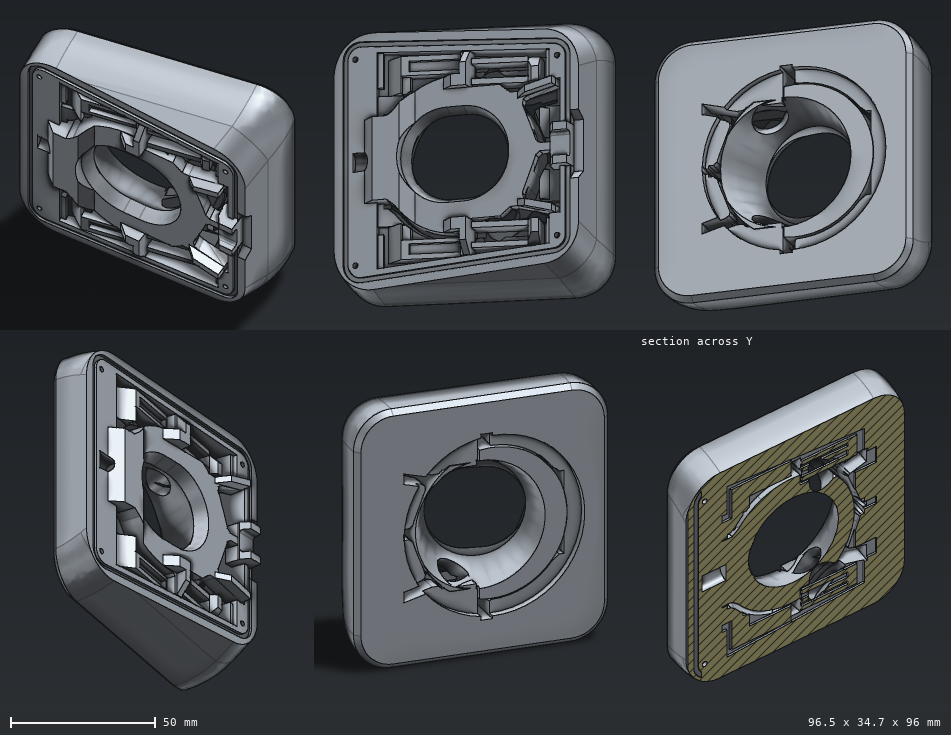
import cadquery as cq
import math

HALF_HEIGHT = 48.0
RIGHT_X = 48.28
LEFT_X_AT_RIM = -46.1
RIM_CHAMFER = 2.0
RIM_CHAMFER_ANGLE = 45.0
SIDE_CURVE_RADIUS = 52.6
SIDE_SLOPE = 20.0
CORNER_RADIUS = 14.0

FACE_TILT = 10.0
FACE_Y_AT_CENTRE = -24.07
FACE_LEFT_U = -48.95
HOOK_HEIGHT = 3.98
PLATE_THICKNESS = 5.0
FAR = 100.0

SIN_TILT = math.sin(math.radians(FACE_TILT))
COS_TILT = math.cos(math.radians(FACE_TILT))
ALONG_FACE = cq.Vector(COS_TILT, -SIN_TILT, 0)
FACE_NORMAL = cq.Vector(-SIN_TILT, -COS_TILT, 0)
FACE_ORIGIN = cq.Vector(0, FACE_Y_AT_CENTRE, 0)

APERTURE_X = -3.3
DISC_RADIUS = 28.0
TONGUE_HALF_WIDTH = 14.8
ARM_LEFT_X = -2.0
ARM_RIGHT_X = 1.2
ARM_TIP_Z = 36.0
EAR_Z = 23.3
BRIDGE_HALF_WIDTH = 1.45
SADDLE_HALF_WIDTH = 7.4
SADDLE_LEFT_X = 30.9
SADDLE_RIGHT_X = 38.0
SADDLE_RISE = 0.7
SLOT_GAP = 0.6
SLOT_MOUTH_GAP = 1.9
SLOT_LEFT_X = -30.3
SLOT_RIGHT_X = 30.3
SLOT_REACH_Z = 34.5
SLOT_LANDS = [
    ((2.2, 17.5), (22.0, 30.0)),
    ((28.9, 40.0), (1.0, 9.5)),
]

POCKET_FLOOR_Y = -15.0
SLOT_NECK_Y = -10.0
BACK_BORE_RADIUS = 33.5
BACK_BORE_DEPTH = 3.0
SHELF_Y = -20.8


def face_point(u, height, z=0.0):
    """Point given by its distance along the mounting face, height above it, and Z."""
    return FACE_ORIGIN + ALONG_FACE * u + FACE_NORMAL * height + cq.Vector(0, 0, z)


def face_plane(height=0.0):
    """Workplane on the mounting face: local x along the face, local y along Z."""
    return cq.Workplane(cq.Plane(face_point(0, height), ALONG_FACE, FACE_NORMAL))


def slab(low, high):
    """Layer between two heights over the mounting face."""
    return face_plane(low).rect(2 * FAR, 2 * FAR).extrude(high - low)


def ridge(profile, z_low, z_high):
    """Profile of (u, height) points swept along Z."""
    plane = cq.Plane(face_point(0, 0, z_high), ALONG_FACE, cq.Vector(0, 0, -1))
    return cq.Workplane(plane).polyline(profile).close().extrude(z_high - z_low)


def prism_z(profile, z_low, z_high):
    """Profile of (x, y) points swept along Z."""
    return cq.Workplane("XY", origin=(0, 0, z_low)).polyline(profile).close().extrude(z_high - z_low)


def box(x_range, y_range, z_range):
    sizes = [high - low for low, high in (x_range, y_range, z_range)]
    return cq.Workplane("XY").box(*sizes, centered=False).translate((x_range[0], y_range[0], z_range[0]))


def upper_and_lower(solid):
    return solid.union(solid.mirror("XY"))


SLOPE_RAD = math.radians(SIDE_SLOPE)
CURVE_END_DEPTH = RIM_CHAMFER + SIDE_CURVE_RADIUS * math.sin(SLOPE_RAD)


def side_inset(depth):
    """Inset of a curved side at a depth in front of the back face, within the curved stretch."""
    reach = depth - RIM_CHAMFER
    return SIDE_CURVE_RADIUS - math.sqrt(SIDE_CURVE_RADIUS ** 2 - reach ** 2)


CURVE_MID_DEPTH = (RIM_CHAMFER + CURVE_END_DEPTH) / 2
CURVE_END_INSET = side_inset(CURVE_END_DEPTH)
FRONT_DEPTH = 45.0
FRONT_INSET = CURVE_END_INSET + (FRONT_DEPTH - CURVE_END_DEPTH) * math.tan(SLOPE_RAD)


def is_corner_edge(edge):
    """True for the edges that run from back to front where two sides meet."""
    middle = edge.Center()
    near_side = abs(middle.x) > RIGHT_X / 2
    near_end = abs(middle.z) > HALF_HEIGHT / 2
    return near_side and near_end and edge.BoundingBox().ylen > 1


def make_housing():
    left_front = face_point(FACE_LEFT_U, 0)
    left_slope = (left_front.x - LEFT_X_AT_RIM) / (left_front.y + RIM_CHAMFER)
    plan = (
        cq.Workplane("XY", origin=(0, 0, -HALF_HEIGHT - 1))
        .moveTo(LEFT_X_AT_RIM, -RIM_CHAMFER)
        .lineTo(RIGHT_X, -RIM_CHAMFER)
        .threePointArc(
            (RIGHT_X - side_inset(CURVE_MID_DEPTH), -CURVE_MID_DEPTH),
            (RIGHT_X - CURVE_END_INSET, -CURVE_END_DEPTH),
        )
        .lineTo(RIGHT_X - FRONT_INSET, -FRONT_DEPTH)
        .lineTo(LEFT_X_AT_RIM - left_slope * (FRONT_DEPTH - RIM_CHAMFER), -FRONT_DEPTH)
        .close()
        .extrude(2 * HALF_HEIGHT + 2)
    )
    elevation = (
        cq.Workplane("YZ", origin=(-FAR, 0, 0))
        .moveTo(-RIM_CHAMFER, -HALF_HEIGHT)
        .lineTo(-RIM_CHAMFER, HALF_HEIGHT)
        .threePointArc(
            (-CURVE_MID_DEPTH, HALF_HEIGHT - side_inset(CURVE_MID_DEPTH)),
            (-CURVE_END_DEPTH, HALF_HEIGHT - CURVE_END_INSET),
        )
        .lineTo(-FRONT_DEPTH, HALF_HEIGHT - FRONT_INSET)
        .lineTo(-FRONT_DEPTH, -HALF_HEIGHT + FRONT_INSET)
        .lineTo(-CURVE_END_DEPTH, -HALF_HEIGHT + CURVE_END_INSET)
        .threePointArc(
            (-CURVE_MID_DEPTH, -HALF_HEIGHT + side_inset(CURVE_MID_DEPTH)),
            (-RIM_CHAMFER, -HALF_HEIGHT),
        )
        .close()
        .extrude(2 * FAR)
    )
    block = plan.intersect(elevation)
    corner_edges = [edge for edge in block.edges().vals() if is_corner_edge(edge)]
    block = block.newObject(corner_edges).fillet(CORNER_RADIUS)
    rim = (
        cq.Workplane("XZ", origin=((LEFT_X_AT_RIM + RIGHT_X) / 2, -RIM_CHAMFER, 0))
        .sketch()
        .rect(RIGHT_X - LEFT_X_AT_RIM, 2 * HALF_HEIGHT)
        .vertices()
        .fillet(CORNER_RADIUS)
        .finalize()
        .extrude(-RIM_CHAMFER, taper=RIM_CHAMFER_ANGLE)
    )
    return block.union(rim).cut(slab(0, FAR))


PIN_HOLE_DIAMETER = 1.9
PIN_HOLE_DEPTH = 3.0
PIN_HOLES = [(-41.0, 36.5), (33.7, 31.9)]
GROOVE_DEPTH = 1.0
GROOVE_WIDTH = 1.8
GROOVE_CORNER_RADIUS = 6.5
GROOVE_LEFT_U = -45.5
GROOVE_RIGHT_U = 38.5
GROOVE_LEFT_HALF_HEIGHT = 43.1
GROOVE_RIGHT_HALF_HEIGHT = 37.7
NOTCH_HALF_LENGTH = 12.1
NOTCH_FLOOR_HALF_LENGTH = 9.1
NOTCH_DEPTH = 3.4
NOTCH_LEFT_U = 38.6


def groove_outline():
    """Sharp-cornered outer outline of the groove, on its floor."""
    return (
        face_plane(-GROOVE_DEPTH)
        .polyline(
            [
                (GROOVE_LEFT_U, -GROOVE_LEFT_HALF_HEIGHT),
                (GROOVE_RIGHT_U, -GROOVE_RIGHT_HALF_HEIGHT),
                (GROOVE_RIGHT_U, GROOVE_RIGHT_HALF_HEIGHT),
                (GROOVE_LEFT_U, GROOVE_LEFT_HALF_HEIGHT),
            ]
        )
        .close()
    )


def cut_seal_groove(body):
    outer = groove_outline().extrude(FAR).edges(cq.selectors.ParallelDirSelector(FACE_NORMAL))
    outer = outer.fillet(GROOVE_CORNER_RADIUS)
    inner = groove_outline().offset2D(-GROOVE_WIDTH).extrude(FAR)
    inner = inner.edges(cq.selectors.ParallelDirSelector(FACE_NORMAL))
    inner = inner.fillet(GROOVE_CORNER_RADIUS - GROOVE_WIDTH)
    return body.cut(outer.cut(inner))


def cut_pin_holes(body):
    places = [(u, side * z) for u, z in PIN_HOLES for side in (1, -1)]
    return body.cut(face_plane().pushPoints(places).circle(PIN_HOLE_DIAMETER / 2).extrude(-PIN_HOLE_DEPTH))


def cut_rim_notch(body):
    end = cq.Plane(face_point(NOTCH_LEFT_U, 0), cq.Vector(0, 0, 1), ALONG_FACE)
    outline = [
        (-NOTCH_HALF_LENGTH, 0),
        (-NOTCH_FLOOR_HALF_LENGTH, -NOTCH_DEPTH),
        (NOTCH_FLOOR_HALF_LENGTH, -NOTCH_DEPTH),
        (NOTCH_HALF_LENGTH, 0),
    ]
    return body.cut(cq.Workplane(end).polyline(outline).close().extrude(FAR))


WINDOW_LEFT_X = -32.5
WINDOW_RIGHT_X = 30.3
WINDOW_LEFT_Z = 38.3
WINDOW_RIGHT_Z = 34.4
WINDOW_STEP_X = 34.2
WINDOW_STEP_Z = 23.8
LEDGE_WIDTH = 2.0
LEDGE_RIGHT_WIDTH = 1.4
LEDGE_DROP = 1.5
LEDGE_LOW_Z = 26.0
BLOCK_FOOT_X = -29.1
BLOCK_TOP_X = -23.5
BLOCK_LOW_Z = 23.1
BLOCK_HIGH_Z = 36.0
SHELF_LOW_Z = 29.1
SHELF_RIGHT_X = -2.6
SHOULDER_RIGHT_X = -20.7
SHOULDER_Y = -18.0
RECESS_X = (-20.7, -3.2)
RECESS_Z = (30.5, 34.2)
RECESS_DEPTH = 2.0
RIB_LEFT_X = 1.8
POST_FOOT_X = 21.7
POST_TOP_X = 23.2
POST_RIGHT_X = 25.8
POST_Y = -26.0
POST_LOW_Z = 24.3
POST_HIGH_Z = 33.4
POST_BEVEL = 4.0
RIB_Y = -23.5
RIBS_Z = [(24.3, 26.4), (31.6, 33.5)]
RIGHT_FLOOR_X = (25.0, 34.2)
RIGHT_FLOOR_Y = -17.5
RIGHT_FLOOR_Z = (1.5, 16.9)
SILL_RIGHT_X = 28.0
SILL_Y = -20.0
SILL_Z = (5.6, 16.2)
STEP_Y = -16.0
STEP_Z = (28.5, 30.3)
LANDING_Y = -16.5
LANDING_Z = (15.0, 23.1)


def make_window():
    upper = [
        (WINDOW_LEFT_X, WINDOW_LEFT_Z),
        (WINDOW_RIGHT_X, WINDOW_RIGHT_Z),
        (WINDOW_RIGHT_X, WINDOW_STEP_Z),
        (WINDOW_STEP_X, WINDOW_STEP_Z),
    ]
    lower = [(x, -z) for x, z in reversed(upper)]
    outline = cq.Workplane("XZ", origin=(0, POCKET_FLOOR_Y, 0)).polyline(upper + lower).close()
    return outline.extrude(FAR)


def make_pocket_ledges():
    """Ledges just below the mounting face at both ends of the window."""
    left = box((WINDOW_LEFT_X, WINDOW_LEFT_X + LEDGE_WIDTH), (-FAR, 0), (LEDGE_LOW_Z, HALF_HEIGHT))
    right_x = (WINDOW_RIGHT_X - LEDGE_RIGHT_WIDTH, WINDOW_RIGHT_X)
    right = box(right_x, (-FAR, 0), (WINDOW_STEP_Z, HALF_HEIGHT))
    return left.union(right).intersect(slab(-FAR, -LEDGE_DROP))


def make_left_shelf():
    """Ramped block running into a flat shelf with a shallow rectangular recess."""
    ramp = [
        (BLOCK_FOOT_X, POCKET_FLOOR_Y),
        (BLOCK_TOP_X, SHELF_Y),
        (BLOCK_TOP_X, POCKET_FLOOR_Y),
    ]
    block = prism_z(ramp, BLOCK_LOW_Z, BLOCK_HIGH_Z)
    shelf = box((BLOCK_TOP_X, SHELF_RIGHT_X), (SHELF_Y, POCKET_FLOOR_Y), (SHELF_LOW_Z, BLOCK_HIGH_Z))
    shoulder_x = (BLOCK_TOP_X, SHOULDER_RIGHT_X)
    shoulder = box(shoulder_x, (SHOULDER_Y, POCKET_FLOOR_Y), (BLOCK_LOW_Z, SHELF_LOW_Z))
    recess = box(RECESS_X, (SHELF_Y, SHELF_Y + RECESS_DEPTH), RECESS_Z)
    landing = box((WINDOW_LEFT_X, BLOCK_TOP_X), (LANDING_Y, POCKET_FLOOR_Y), LANDING_Z)
    return block.union(shelf).union(shoulder).union(landing).cut(recess)


def make_right_floor():
    """Raised floor beside the bridge with a sill sloping onto it, and a low step under the ribs."""
    left, right = RIGHT_FLOOR_X
    floor = box((left, right), (RIGHT_FLOOR_Y, POCKET_FLOOR_Y), RIGHT_FLOOR_Z)
    profile = [
        (left, POCKET_FLOOR_Y),
        (left, SILL_Y),
        (SILL_RIGHT_X, RIGHT_FLOOR_Y),
        (SILL_RIGHT_X, POCKET_FLOOR_Y),
    ]
    step = box((RIB_LEFT_X, POST_FOOT_X), (STEP_Y, POCKET_FLOOR_Y), STEP_Z)
    return floor.union(prism_z(profile, *SILL_Z)).union(step)


def make_ribs_and_post():
    profile = [
        (POST_FOOT_X, POCKET_FLOOR_Y),
        (POST_FOOT_X, RIB_Y),
        (POST_TOP_X, POST_Y),
        (POST_RIGHT_X, POST_Y),
        (POST_RIGHT_X, POCKET_FLOOR_Y),
    ]
    solid = prism_z(profile, POST_LOW_Z, POST_HIGH_Z).faces("<Y").edges(">Z").chamfer(POST_BEVEL)
    for z_range in RIBS_Z:
        solid = solid.union(box((RIB_LEFT_X, POST_FOOT_X), (RIB_Y, POCKET_FLOOR_Y), z_range))
    return solid


BORE_MOUTH = (12.3, -15.0, 25.0)
BORE_DIAMETER = 12.8
BORE_MOUTH_DIAMETER = 17.2
BORE_TILT = 50.0
BORE_LENGTH = 10.0
BORE_MOUTH_REACH = 3.0


def make_radial_bore():
    x, y, z = BORE_MOUTH
    radial = math.hypot(x - APERTURE_X, z)
    inward = math.sin(math.radians(BORE_TILT)) / radial
    axis = cq.Vector((APERTURE_X - x) * inward, math.cos(math.radians(BORE_TILT)), -z * inward)
    mouth = cq.Vector(x, y, z)
    step = (BORE_MOUTH_DIAMETER - BORE_DIAMETER) / 2
    bore = cq.Solid.makeCylinder(BORE_DIAMETER / 2, BORE_LENGTH, mouth, axis)
    cone = cq.Solid.makeCone(BORE_MOUTH_DIAMETER / 2, BORE_DIAMETER / 2, step, mouth, axis)
    entry_start = mouth - axis * BORE_MOUTH_REACH
    entry = cq.Solid.makeCylinder(BORE_MOUTH_DIAMETER / 2, BORE_MOUTH_REACH, entry_start, axis)
    return cq.Workplane(bore.fuse(cone, entry))


NECK_START = (-28.3, TONGUE_HALF_WIDTH)
NECK_END = (-25.5, 17.0)
TONGUE_LEFT_X = -37.0
ARM_ROOT = (-2.9, DISC_RADIUS)
ARM_BEND_Z = 29.0
BAY_EDGE = [
    (ARM_RIGHT_X, EAR_Z),
    (12.4, EAR_Z),
    (16.1, 20.3),
    (18.7, 20.2),
    (32.7, 23.9),
    (32.7, 21.3),
    (22.5, 18.5),
]
BAY_BEND = [(20.9, 17.5), (20.5, 15.7)]
BAY_INNER = [(24.4, 5.6), (25.4, 2.7), (27.0, BRIDGE_HALF_WIDTH)]


def plate_outline(y=0.0):
    """Closed outline of the plate with its tongue, arms, fingers and bridge."""
    angle_neck = math.atan2(NECK_END[1], NECK_END[0] - APERTURE_X)
    middle = (angle_neck + math.pi / 2) / 2
    arc_middle = (APERTURE_X + DISC_RADIUS * math.cos(middle), DISC_RADIUS * math.sin(middle))
    right = BAY_EDGE + BAY_BEND + BAY_INNER
    right += [
        (SADDLE_LEFT_X, BRIDGE_HALF_WIDTH),
        (SADDLE_LEFT_X, SADDLE_HALF_WIDTH),
        (SADDLE_RIGHT_X, SADDLE_HALF_WIDTH),
    ]
    outline = (
        cq.Workplane("XZ", origin=(0, y, 0))
        .moveTo(TONGUE_LEFT_X, 0)
        .lineTo(TONGUE_LEFT_X, TONGUE_HALF_WIDTH)
        .lineTo(*NECK_START)
        .lineTo(*NECK_END)
        .threePointArc(arc_middle, ARM_ROOT)
        .lineTo(ARM_LEFT_X, ARM_BEND_Z)
        .lineTo(ARM_LEFT_X, ARM_TIP_Z)
        .lineTo(ARM_RIGHT_X, ARM_TIP_Z)
    )
    for point in right:
        outline = outline.lineTo(*point)
    return outline.lineTo(SADDLE_RIGHT_X, 0).mirrorX()


def make_slot_cavity():
    """Clearance around the plate: a wide mouth, a drafted wall and a narrow neck open to the back."""
    reach = box((SLOT_LEFT_X, SLOT_RIGHT_X), (-FAR, 0), (-SLOT_REACH_Z, SLOT_REACH_Z))
    mouth_reach = box((-FAR, FAR), (-FAR, 0), (-ARM_BEND_Z, ARM_BEND_Z))
    neck = plate_outline().offset2D(SLOT_GAP, "arc").extrude(FAR)
    mouth = plate_outline(POCKET_FLOOR_Y).offset2D(SLOT_MOUTH_GAP, "arc").extrude(FAR)
    draft = math.degrees(math.atan2(SLOT_MOUTH_GAP - SLOT_GAP, SLOT_NECK_Y - POCKET_FLOOR_Y))
    wall = plate_outline(POCKET_FLOOR_Y).offset2D(SLOT_MOUTH_GAP, "arc")
    wall = wall.extrude(POCKET_FLOOR_Y - SLOT_NECK_Y, taper=draft)
    cavity = neck.union(mouth.union(wall).intersect(mouth_reach)).intersect(reach)
    for x_range, z_range in SLOT_LANDS:
        cavity = cavity.cut(upper_and_lower(box(x_range, (-FAR, 0), z_range)))
    return cavity


def make_back_bore():
    back = cq.Workplane("XZ").center(APERTURE_X, 0)
    return back.circle(BACK_BORE_RADIUS).extrude(BACK_BORE_DEPTH)


APERTURE_U = -4.2
APERTURE_HALF_LENGTH = 20.0
APERTURE_HALF_WIDTH = 16.9
APERTURE_INSET = 2.1
FLARE_RADIUS = 26.5
FLARE_LENGTH = 24.0
COLLAR_BACK_Y = -2.5


def make_aperture():
    """Tapered slot through the plate that opens into a conical flare behind it."""
    draft = math.degrees(math.atan2(APERTURE_INSET, PLATE_THICKNESS))
    length, width = 2 * APERTURE_HALF_LENGTH, 2 * APERTURE_HALF_WIDTH
    taper = face_plane().center(APERTURE_U, 0).slot2D(length, width).extrude(-PLATE_THICKNESS, taper=draft)
    entry = face_plane().center(APERTURE_U, 0).slot2D(length, width).extrude(HOOK_HEIGHT)
    plate_back = face_point(APERTURE_U, -PLATE_THICKNESS)
    throat_radius = APERTURE_HALF_LENGTH - APERTURE_INSET
    flare = cq.Solid.makeCone(throat_radius, FLARE_RADIUS, FLARE_LENGTH, plate_back, -FACE_NORMAL)
    return taper.union(entry).union(cq.Workplane(flare))


def make_collar(column):
    """Ring behind the plate that surrounds the flared part of the aperture."""
    ring = cq.Workplane("XZ", origin=(0, COLLAR_BACK_Y, 0)).center(APERTURE_X, 0).circle(DISC_RADIUS)
    return ring.extrude(FAR).intersect(slab(-FAR, -PLATE_THICKNESS / 2)).intersect(column)


TONGUE_FOOT_U = -37.6
TONGUE_TOP_LEFT_U = -33.2
TONGUE_TOP_RIGHT_U = -23.2
TONGUE_END_U = -18.9
HOOK_FOOT_U = -8.4
HOOK_TOP_U = -4.15
HOOK_HIGH_Z = 27.5
ARM_LEFT_U = -1.0
ARM_RIGHT_U = 1.4
ARM_SLOPE_Z = 31.5
FINGER_TOP_U = 23.15
FINGER_ROOT_U = 19.0
FINGER_TIP_U = 33.2
FINGER_OUTLINE = [
    (FINGER_ROOT_U, 17.8),
    (FINGER_ROOT_U, 20.2),
    (FINGER_TIP_U, 23.9),
    (FINGER_TIP_U, 21.3),
]
SADDLE_LEFT_U = 31.4
SADDLE_TOP_U = 33.5
SADDLE_RIGHT_U = 38.7
SADDLE_HOOK_LOW_Z = 4.5
SADDLE_FILLET = 1.2


def make_tongue_rise(column):
    """Raised bar across the left of the plate, ramped on both sides."""
    profile = [
        (TONGUE_FOOT_U, -PLATE_THICKNESS),
        (TONGUE_FOOT_U, 0),
        (TONGUE_TOP_LEFT_U, HOOK_HEIGHT),
        (TONGUE_TOP_RIGHT_U, HOOK_HEIGHT),
        (TONGUE_END_U, 0),
        (TONGUE_END_U, -PLATE_THICKNESS),
    ]
    return ridge(profile, -HALF_HEIGHT, HALF_HEIGHT).intersect(column)


def make_arm_hook():
    """Hook on the disc edge with the sloped arm that stands beside it."""
    foot = ridge(
        [
            (HOOK_FOOT_U, 0),
            (HOOK_TOP_U, HOOK_HEIGHT),
            (ARM_RIGHT_U, HOOK_HEIGHT),
            (ARM_RIGHT_U, -PLATE_THICKNESS),
            (HOOK_FOOT_U, -PLATE_THICKNESS),
        ],
        EAR_Z,
        HOOK_HIGH_Z,
    )
    side = cq.Plane(face_point(ARM_LEFT_U, 0), cq.Vector(0, 0, 1), ALONG_FACE)
    arm = (
        cq.Workplane(side)
        .polyline(
            [
                (EAR_Z, -PLATE_THICKNESS),
                (EAR_Z, HOOK_HEIGHT),
                (ARM_SLOPE_Z, HOOK_HEIGHT),
                (ARM_TIP_Z, 0),
                (ARM_TIP_Z, -PLATE_THICKNESS),
            ]
        )
        .close()
        .extrude(ARM_RIGHT_U - ARM_LEFT_U)
    )
    return foot.union(arm)


def make_finger():
    outline = face_plane(-PLATE_THICKNESS).polyline(FINGER_OUTLINE).close()
    outline = outline.extrude(PLATE_THICKNESS + HOOK_HEIGHT)
    profile = [
        (FINGER_ROOT_U, -PLATE_THICKNESS),
        (FINGER_ROOT_U, 0),
        (FINGER_TOP_U, HOOK_HEIGHT),
        (FINGER_TIP_U, HOOK_HEIGHT),
        (FINGER_TIP_U, -PLATE_THICKNESS),
    ]
    return outline.intersect(ridge(profile, 0, HALF_HEIGHT))


def make_saddle():
    """Block at the end of the bridge carrying a pair of hooks."""
    block = ridge(
        [
            (SADDLE_LEFT_U, -PLATE_THICKNESS),
            (SADDLE_LEFT_U, SADDLE_RISE),
            (SADDLE_RIGHT_U, SADDLE_RISE),
            (SADDLE_RIGHT_U, -PLATE_THICKNESS),
        ],
        -SADDLE_HALF_WIDTH,
        SADDLE_HALF_WIDTH,
    )
    hook = ridge(
        [
            (SADDLE_LEFT_U, 0),
            (SADDLE_LEFT_U, SADDLE_RISE),
            (SADDLE_TOP_U, HOOK_HEIGHT),
            (SADDLE_RIGHT_U, HOOK_HEIGHT),
            (SADDLE_RIGHT_U, 0),
        ],
        SADDLE_HOOK_LOW_Z,
        SADDLE_HALF_WIDTH,
    )
    saddle = block.union(upper_and_lower(hook))
    middle_u = (SADDLE_LEFT_U + SADDLE_RIGHT_U) / 2
    for side in (1, -1):
        inner_corner = face_point(middle_u, SADDLE_RISE, side * SADDLE_HOOK_LOW_Z)
        saddle = saddle.edges(cq.NearestToPointSelector(inner_corner.toTuple())).fillet(SADDLE_FILLET)
    return saddle


LATCH_BORE_DIAMETER = 7.0
LATCH_BORE_X = (-41.2, -31.0)
LATCH_BORE_Y = -15.9


def make_latch_bore():
    """Blind bore along X that breaks through the mounting face and into the tongue."""
    left, right = LATCH_BORE_X
    bore = cq.Workplane("YZ", origin=(left, LATCH_BORE_Y, 0)).circle(LATCH_BORE_DIAMETER / 2)
    return bore.extrude(right - left)


def make_plate():
    column = plate_outline().extrude(FAR)
    plate = column.intersect(slab(-PLATE_THICKNESS, 0))
    plate = plate.union(make_collar(column))
    plate = plate.union(make_tongue_rise(column))
    plate = plate.union(upper_and_lower(make_arm_hook()))
    plate = plate.union(upper_and_lower(make_finger()))
    plate = plate.union(make_saddle())
    return plate


body = cut_rim_notch(cut_pin_holes(cut_seal_groove(make_housing())))
window = make_window()
floors = make_left_shelf().union(make_right_floor()).union(make_pocket_ledges())
body = body.cut(window).union(window.intersect(upper_and_lower(floors)))
radial_bores = upper_and_lower(make_radial_bore())
body = body.cut(make_slot_cavity()).cut(make_back_bore()).cut(radial_bores)
body = body.union(upper_and_lower(make_ribs_and_post()))
plate = make_plate().cut(make_aperture()).cut(radial_bores)
result = body.union(plate).cut(make_latch_bore())